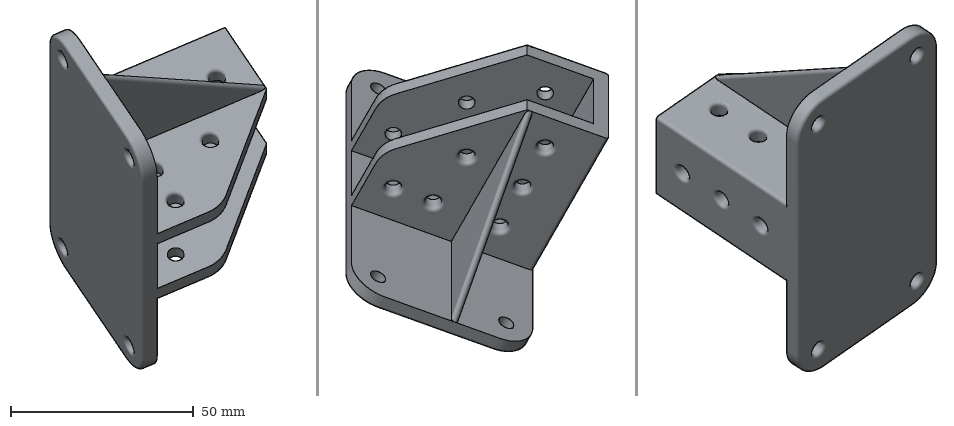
import cadquery as cq


width = 54.5
height = 100.0
wall = 4.5
bar_size = 20.0
corner_radius = 10.0
edge_radius = 1.0
rib_thickness = 2.0
hole_diameter = 4.5
socket_hole_pitch = 15.0
socket_hole_count = 3
plate_hole_inset = 8.0
flange_hole_near = 34.5
flange_hole_far = 46.5
brace_hole = 32.7

mid_z = height / 2
bar_centre = wall + bar_size / 2
bar_side = wall + bar_size
socket_height = bar_size + 2 * wall
socket_bottom = mid_z - socket_height / 2
socket_top = mid_z + socket_height / 2


def make_plate():
    """Upright plate with rounded corners and a rounded front rim."""
    plate = cq.Workplane("XY").box(width, wall, height, centered=False)
    plate = plate.edges("|Y").fillet(corner_radius)
    return plate.faces("<Y").edges().fillet(edge_radius)


def make_socket():
    """Two flanges joined by a side wall, open toward +X and +Y."""
    block = (
        cq.Workplane("XY", origin=(0, 0, socket_bottom))
        .moveTo(0, wall)
        .lineTo(width, wall)
        .lineTo(width, bar_side)
        .lineTo(bar_side, width)
        .lineTo(0, width)
        .close()
        .extrude(socket_height)
    )
    outer_corner = cq.selectors.NearestToPointSelector((width, bar_side, mid_z))
    block = block.edges(outer_corner).fillet(corner_radius)
    block = block.faces("<X").edges("|Y").fillet(edge_radius)
    gap = cq.Workplane("XY").box(width, width, bar_size, centered=False)
    return block.cut(gap.translate((wall, wall, socket_bottom + wall)))


def make_upper_rib():
    """Triangular rib on the upper flange, its sloping edge fully rounded."""
    wedge = (
        cq.Workplane("YZ", origin=(bar_side - rib_thickness, 0, 0))
        .moveTo(wall, socket_top - wall)
        .lineTo(width, socket_top - wall)
        .lineTo(width, socket_top)
        .lineTo(wall, height)
        .close()
        .extrude(rib_thickness)
    )
    slope = cq.Plane(
        origin=(bar_side - rib_thickness / 2, wall, height),
        xDir=(1, 0, 0),
        normal=(0, width - wall, socket_top - height),
    )
    half = rib_thickness / 2
    round_slab = (
        cq.Workplane(slope)
        .moveTo(-half, half)
        .threePointArc((0, 0), (half, half))
        .lineTo(half, height)
        .lineTo(-half, height)
        .close()
        .extrude(2 * height)
    )
    return wedge.intersect(round_slab)


def drill(point, direction, length):
    """Drill with a flared rim that rounds the hole edge at the entry point."""
    radius = hole_diameter / 2
    rim = radius + edge_radius
    flare_middle = (1 - 0.5 ** 0.5) * edge_radius
    profile = (
        cq.Workplane("XZ")
        .lineTo(rim, 0)
        .threePointArc((radius + flare_middle, flare_middle), (radius, edge_radius))
        .lineTo(radius, length)
        .lineTo(0, length)
        .close()
        .revolve(360, (0, 0, 0), (0, 1, 0))
    )
    frame = cq.Plane(origin=point, normal=direction)
    return cq.Workplane(profile.val().moved(cq.Location(frame)))


def make_drills():
    """All the holes, each rounded on the outer face it enters from."""
    drills = []
    for x in (plate_hole_inset, width - plate_hole_inset):
        for z in (plate_hole_inset, height - plate_hole_inset):
            drills.append(drill((x, 0, z), (0, 1, 0), wall))

    socket_rows = [bar_centre + i * socket_hole_pitch for i in range(socket_hole_count)]
    for y in socket_rows:
        drills.append(drill((0, y, mid_z), (1, 0, 0), wall))

    flange_points = [(bar_centre, y) for y in socket_rows]
    flange_points += [(flange_hole_near, bar_centre), (flange_hole_far, bar_centre)]
    flange_points.append((brace_hole, brace_hole))
    for x, y in flange_points:
        drills.append(drill((x, y, socket_top), (0, 0, -1), wall))
        drills.append(drill((x, y, socket_bottom), (0, 0, 1), wall))
    return drills


upper_rib = make_upper_rib()
lower_rib = upper_rib.mirror("XY", (0, 0, mid_z))
result = make_plate().union(make_socket()).union(upper_rib).union(lower_rib)
for tool in make_drills():
    result = result.cut(tool)